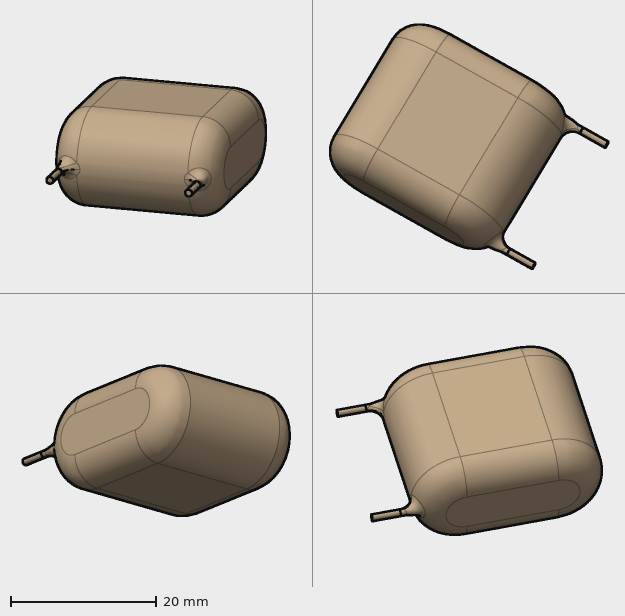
import cadquery as cq

overall_length = 33.0
case_width = 24.0
case_thickness = 14.0
case_edge_radius = 4.0

lead_diameter = 1.0
lead_length = 4.0
lead_pitch = 20.0
collar_length = 2.0
collar_fillet_radius = 1.98

case_length = overall_length - lead_length - collar_length
case_front = -case_length / 2
collar_end = case_front - collar_length
lead_positions = [-lead_pitch / 2, lead_pitch / 2]
collar_x = lead_positions[0]


def round_bar(x, y_start, length):
    """Round bar of lead diameter, running from y_start toward -Y."""
    return (
        cq.Workplane("XZ", origin=(x, y_start, 0))
        .circle(lead_diameter / 2)
        .extrude(length)
    )


def make_case_half():
    """Half of the case on the -X side: a slot profile with a rounded outer edge and one collar."""
    half = (
        cq.Workplane("YZ")
        .slot2D(case_length, case_thickness)
        .extrude(-case_width / 2)
        .faces("<X")
        .edges()
        .fillet(case_edge_radius)
    )
    half = half.union(round_bar(collar_x, 0, -collar_end))
    return fillet_collar_root(half)


def fillet_collar_root(half):
    """Blend the collar into the rounded end of the case half."""
    root_zone = cq.selectors.BoxSelector(
        (collar_x - lead_diameter, case_front, -lead_diameter),
        (collar_x + lead_diameter, case_front + case_edge_radius, lead_diameter),
    )
    return half.edges(root_zone).fillet(collar_fillet_radius)


def make_case():
    """Whole case, symmetric about its middle plane."""
    half = make_case_half()
    return half.union(half.mirror("YZ")).clean().solids()


def make_lead(x):
    """Wire lead that continues from the end face of its collar."""
    return round_bar(x, collar_end, lead_length)


case = make_case()
leads = [make_lead(x) for x in lead_positions]

result = cq.Compound.makeCompound([case.val(), *[lead.val() for lead in leads]])